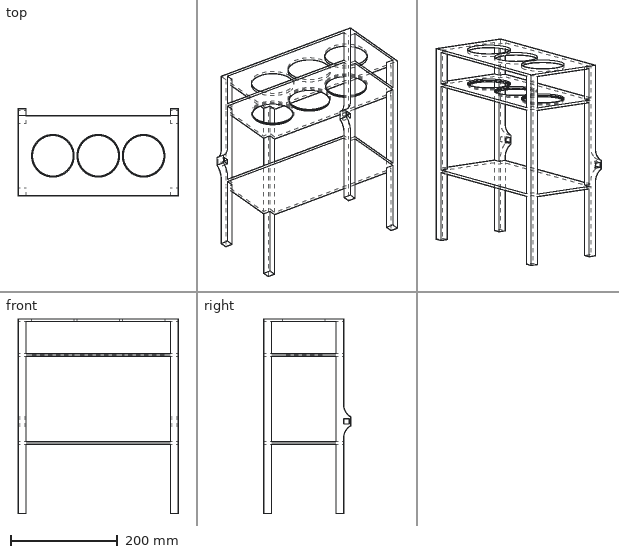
import cadquery as cq

frame_length = 300.0
frame_depth = 150.0
frame_height = 365.0
leg_width = 15.0
board_thickness = 5.0

rack_top = 300.0
shelf_top = 135.0

hole_count = 3
hole_pitch = 85.0
opening_diameter = 80.0
ledge_diameter = 76.0
recess_depth = 2.5

lug_reach = 13.0
lug_center_height = 173.0
lug_root_height = 62.8
lug_tip_height = 16.8
flank_radius = 26.3
window_height = 9.0
window_depth = 10.2

rear_face = frame_depth / 2


def board(upper_face):
    """Flat board covering the whole footprint of the frame."""
    return (
        cq.Workplane("XY", origin=(0, 0, upper_face - board_thickness))
        .rect(frame_length, frame_depth)
        .extrude(board_thickness)
    )


def hole_centers(upper_face):
    """Upper face of a board with the centres of its row of openings selected."""
    return (
        board(upper_face)
        .faces(">Z")
        .workplane(origin=(0, 0, upper_face))
        .rarray(hole_pitch, 3.5, hole_count, 1)
    )


def top_board():
    """Top board with plain through holes."""
    return hole_centers(frame_height).hole(opening_diameter)


def rack_board():
    """Rack board with stepped holes that leave a narrow ledge below each recess."""
    return hole_centers(rack_top).cboreHole(ledge_diameter, opening_diameter, recess_depth)


def legs():
    """Four square legs, flush with the outer edges of the boards."""
    return (
        cq.Workplane("XY")
        .rect(frame_length - leg_width, frame_depth - leg_width, forConstruction=True)
        .vertices()
        .rect(leg_width, leg_width)
        .extrude(frame_height)
    )


def lug(left_face):
    """Lug with concave flanks and a rectangular window, as wide as a leg."""
    tip_face = rear_face + lug_reach
    root_low = lug_center_height - lug_root_height / 2
    root_high = lug_center_height + lug_root_height / 2
    tip_low = lug_center_height - lug_tip_height / 2
    tip_high = lug_center_height + lug_tip_height / 2

    buried_face = rear_face - leg_width / 2
    return (
        cq.Workplane("YZ", origin=(left_face, 0, 0))
        .moveTo(buried_face, root_low)
        .lineTo(rear_face, root_low)
        .radiusArc((tip_face, tip_low), flank_radius)
        .lineTo(tip_face, tip_high)
        .radiusArc((rear_face, root_high), flank_radius)
        .lineTo(buried_face, root_high)
        .close()
        .extrude(leg_width)
    )


def lug_window(left_face):
    """Cutter for the window, which starts at the rear face of the leg."""
    return (
        cq.Workplane("YZ", origin=(left_face, 0, 0))
        .center(rear_face + window_depth / 2, lug_center_height)
        .rect(window_depth, window_height)
        .extrude(leg_width)
    )


result = (
    legs()
    .union(top_board())
    .union(rack_board())
    .union(board(shelf_top))
)

for leg_left_face in (-frame_length / 2, frame_length / 2 - leg_width):
    result = result.union(lug(leg_left_face)).cut(lug_window(leg_left_face))